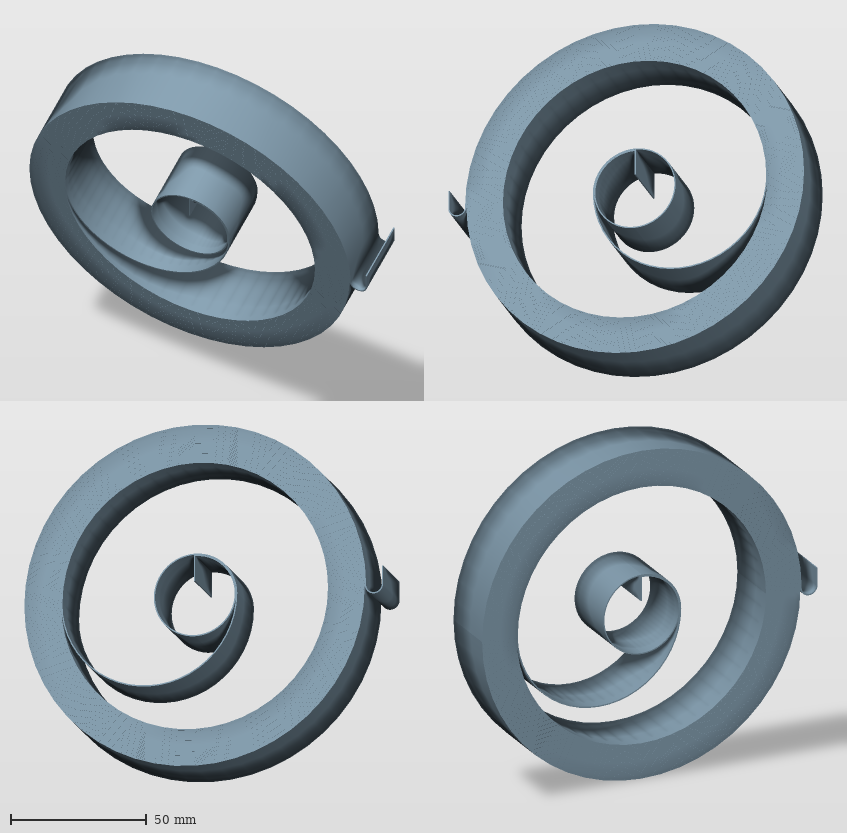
import cadquery as cq
import math


total_length = 136.5
coil_height = 129.8
strip_width = 25.0

coil_inner_radius = 50.5
turns = 29
layer_gap = 0.007
pitch = (coil_height - 2 * coil_inner_radius) / (2 * turns - 0.5)
coil_outer_radius = coil_inner_radius + turns * pitch
thickness = pitch - layer_gap
half_thickness = thickness / 2
half_pitch = pitch / 2
first_turn_radius = coil_inner_radius + layer_gap + half_thickness

hub_inner_radius = 15.0
tab_bottom = 5.6

hook_leg_top = 7.0

RIGHT, TOP, LEFT, BOTTOM = 0, 90, 180, 270
HALF_TURN = 180


def hub_arcs():
    """One and a quarter turns: the second layer lies on top of the first."""
    radius = hub_inner_radius + half_thickness
    return [
        (0, 0, radius, TOP, TOP - HALF_TURN),
        (0, half_pitch, radius + half_pitch, BOTTOM, BOTTOM - HALF_TURN),
        (0, 0, radius + pitch, TOP, RIGHT),
    ]


def bridge_arc():
    """Half circle under the hub, from its right side to the left of the innermost turn."""
    right_end = hub_inner_radius + half_thickness + pitch
    left_end = -first_turn_radius
    return ((right_end + left_end) / 2, 0, (right_end - left_end) / 2, RIGHT, RIGHT - HALF_TURN)


def coil_arcs():
    """Spiral of half circles, each half a pitch larger than the one before."""
    arcs = []
    for turn in range(turns):
        radius = first_turn_radius + turn * pitch
        arcs.append((0, 0, radius, LEFT, RIGHT))
        if turn < turns - 1:
            arcs.append((-half_pitch, 0, radius + half_pitch, RIGHT, RIGHT - HALF_TURN))
    return arcs


def hook_arc():
    """Half circle that turns the strip back upwards, outside the coil."""
    left_end = coil_outer_radius - half_thickness
    right_end = total_length - coil_outer_radius - half_thickness
    return ((left_end + right_end) / 2, 0, (right_end - left_end) / 2, LEFT, LEFT + HALF_TURN)


def side_arc(arc, side):
    """Start, middle and end point of one edge; side +1 is left of the travel, -1 is right."""
    center_x, center_z, radius, start, end = arc
    turn_sign = 1 if end < start else -1
    edge_radius = radius + turn_sign * side * half_thickness
    points = []
    for angle in (start, (start + end) / 2, end):
        x = center_x + edge_radius * math.cos(math.radians(angle))
        z = center_z + edge_radius * math.sin(math.radians(angle))
        points.append((x, z))
    return points


def wound_strip():
    arcs = hub_arcs() + [bridge_arc()] + coil_arcs() + [hook_arc()]
    left_edge = [side_arc(arc, 1) for arc in arcs]
    right_edge = [side_arc(arc, -1) for arc in arcs]

    profile = cq.Workplane("XZ").moveTo(*left_edge[0][0])
    for _, middle, end in left_edge:
        profile = profile.threePointArc(middle, end)
    leg_inner_x = left_edge[-1][2][0]
    leg_outer_x = right_edge[-1][2][0]
    profile = profile.lineTo(leg_inner_x, hook_leg_top).lineTo(leg_outer_x, hook_leg_top)
    profile = profile.lineTo(*right_edge[-1][2])
    for start, middle, _ in reversed(right_edge):
        profile = profile.threePointArc(middle, start)
    return profile.close().extrude(strip_width / 2, both=True)


def hub_tab():
    """Straight end of the strip, pointing from the top of the hub towards its axis."""
    top = hub_inner_radius + thickness - 2 * layer_gap
    tab = cq.Workplane("XZ").center(-half_thickness, (top + tab_bottom) / 2)
    tab = tab.rect(thickness, top - tab_bottom)
    return tab.extrude(strip_width / 2, both=True)


result = wound_strip().union(hub_tab())